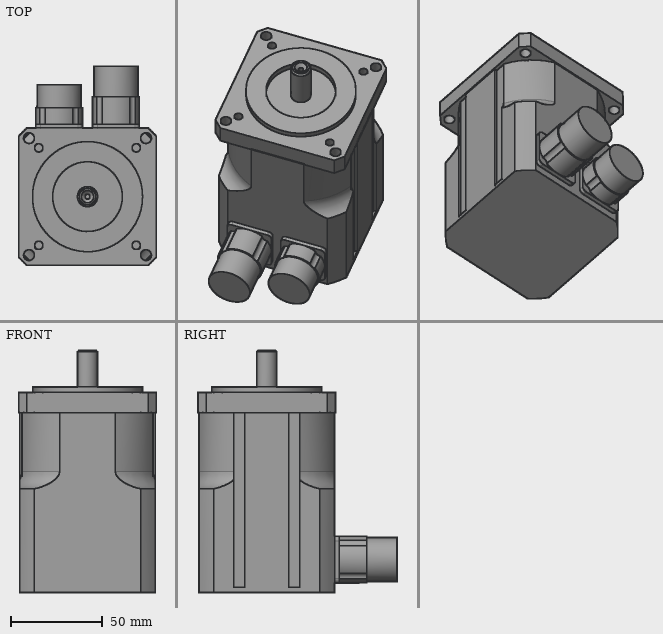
import cadquery as cq
import math

body_width = 74.0
body_half = body_width / 2
lower_corner_radius = 47.0
upper_corner_radius = 40.0
cove_radius = 10.0
cove_top_z = 66.0

flange_width = 75.0
flange_thickness = 11.0
flange_bottom_z = 98.0
flange_top_z = flange_bottom_z + flange_thickness
flange_corner_chamfer = 4.5
pilot_diameter = 60.0
pilot_height = 3.0
pilot_top_z = flange_top_z + pilot_height
recess_diameter = 38.0
recess_depth = 3.5
recess_floor_z = pilot_top_z - recess_depth

shaft_diameter = 11.0
shaft_projection = 20.0
shaft_top_z = pilot_top_z + shaft_projection
shaft_chamfer = 1.0
center_drill_diameter = 2.7
center_drill_depth = 8.0
center_cone_diameter = 6.7
center_cone_angle = 90.0

bolt_circle = 90.0
bolt_hole_diameter = 5.8
tapped_circle = 75.0
tapped_hole_diameter = 4.5

groove_width = 6.0
groove_center_y = 15.0
groove_depth = 1.5
groove_bottom_z = 3.0

connector_offset_x = 15.5
connector_z = 18.0
plate_width = 25.6
plate_thickness = 2.4
plate_corner_radius = 2.5
collar_diameter = plate_width
barrel_diameter = 24.0
scallop_radius = 2.8
scallop_offset = plate_width / 2 - plate_corner_radius
connector_sizes = [
    (-connector_offset_x, 11.4, 24.0),
    (connector_offset_x, 17.5, 34.0),
]


def make_body():
    """Square prism whose corners are turned down, smaller above a concave cove."""
    prism = cq.Workplane("XY").rect(body_width, body_width).extrude(flange_bottom_z)
    cove_center_r = upper_corner_radius + cove_radius
    cove_end_z = cove_top_z - math.sqrt(cove_radius**2 - (cove_center_r - lower_corner_radius) ** 2)
    half_angle = math.acos((cove_center_r - lower_corner_radius) / cove_radius) / 2
    cove_mid = (
        cove_center_r - cove_radius * math.cos(half_angle),
        cove_top_z - cove_radius * math.sin(half_angle),
    )
    turned = (
        cq.Workplane("XZ")
        .lineTo(lower_corner_radius, 0)
        .lineTo(lower_corner_radius, cove_end_z)
        .threePointArc(cove_mid, (upper_corner_radius, cove_top_z))
        .lineTo(upper_corner_radius, flange_bottom_z)
        .lineTo(0, flange_bottom_z)
        .close()
        .revolve(360, (0, 0), (0, 1))
    )
    return prism.intersect(turned)


def make_grooves():
    """Two grooves in each X face, running from near the rear end up to the flange."""
    centers = [(sx * body_half, sy * groove_center_y) for sx in (-1, 1) for sy in (-1, 1)]
    return (
        cq.Workplane("XY", origin=(0, 0, groove_bottom_z))
        .pushPoints(centers)
        .rect(2 * groove_depth, groove_width)
        .extrude(flange_bottom_z - groove_bottom_z)
    )


def diagonal_holes(circle_diameter, hole_diameter):
    """Four holes on the flange diagonals, as deep as the flange is thick."""
    return (
        cq.Workplane("XY", origin=(0, 0, flange_top_z))
        .polarArray(circle_diameter / 2, 45, 360, 4)
        .circle(hole_diameter / 2)
        .extrude(-flange_thickness)
    )


def make_flange():
    """Chamfered square flange with its round pilot."""
    plate = (
        cq.Workplane("XY", origin=(0, 0, flange_bottom_z))
        .rect(flange_width, flange_width)
        .extrude(flange_thickness)
        .edges("|Z")
        .chamfer(flange_corner_chamfer)
    )
    pilot = cq.Workplane("XY", origin=(0, 0, flange_top_z)).circle(pilot_diameter / 2).extrude(pilot_height)
    return plate.union(pilot)


def make_shaft():
    """Output shaft with a chamfered tip and a center-drilled end."""
    radius = shaft_diameter / 2
    drill_radius = center_drill_diameter / 2
    cone_radius = center_cone_diameter / 2
    cone_depth = (cone_radius - drill_radius) / math.tan(math.radians(center_cone_angle / 2))
    drill_floor_z = shaft_top_z - center_drill_depth
    return (
        cq.Workplane("XZ")
        .moveTo(0, recess_floor_z)
        .lineTo(radius, recess_floor_z)
        .lineTo(radius, shaft_top_z - shaft_chamfer)
        .lineTo(radius - shaft_chamfer, shaft_top_z)
        .lineTo(cone_radius, shaft_top_z)
        .lineTo(drill_radius, shaft_top_z - cone_depth)
        .lineTo(drill_radius, drill_floor_z)
        .lineTo(0, drill_floor_z)
        .close()
        .revolve(360, (0, 0), (0, 1))
    )


def make_housing():
    """Motor body, flange and shaft as one solid."""
    recess = cq.Workplane("XY", origin=(0, 0, recess_floor_z)).circle(recess_diameter / 2).extrude(recess_depth)
    return (
        make_body()
        .cut(make_grooves())
        .union(make_flange())
        .cut(recess)
        .cut(diagonal_holes(bolt_circle, bolt_hole_diameter))
        .cut(diagonal_holes(tapped_circle, tapped_hole_diameter))
        .union(make_shaft())
    )


def make_connector(x, collar_end, length):
    """Square base plate, round collar with four screw scallops, and a plain barrel along +Y."""

    def section(start):
        return cq.Workplane("XZ", origin=(x, body_half + start, connector_z))

    plate = (
        section(0)
        .rect(plate_width, plate_width)
        .extrude(-plate_thickness)
        .edges("|Y")
        .fillet(plate_corner_radius)
    )
    collar_length = collar_end - plate_thickness
    collar = section(plate_thickness).circle(collar_diameter / 2).extrude(-collar_length)
    scallops = (
        section(plate_thickness)
        .rect(2 * scallop_offset, 2 * scallop_offset, forConstruction=True)
        .vertices()
        .circle(scallop_radius)
        .extrude(-collar_length)
    )
    barrel = section(collar_end).circle(barrel_diameter / 2).extrude(collar_end - length)
    return plate.union(collar.cut(scallops)).union(barrel)


housing = make_housing()
connectors = [make_connector(*size) for size in connector_sizes]

result = cq.Compound.makeCompound([housing.val(), *[connector.val() for connector in connectors]])